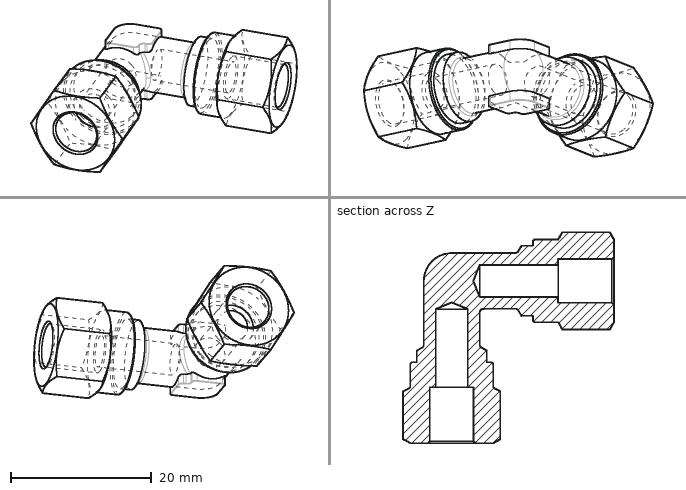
import cadquery as cq
import math

overall_size = 30.02
hex_flats = 12.0
hex_corner_radius = hex_flats / math.sqrt(3)
arm_reach = overall_size - hex_corner_radius

tube_radius = 4.0
crotch_fillet = 0.5
pad_half_width = 2.5
pad_reach = 4.02
pad_half_height = 4.53
pad_corner_radius = 0.6
pad_rim_fillet = 0.1

shoulder_radius = 5.0
shoulder_start = 9.9
shoulder_slope = 60.0
shoulder_rise = shoulder_radius - tube_radius
shoulder_root = shoulder_start - shoulder_rise / math.tan(math.radians(shoulder_slope))
shoulder_fillet = 0.5

collar_radius = 5.9
collar_start = 11.55
collar_chamfer = 0.2
hex_start = 15.13
hex_chamfer_angle = 30.0
hex_corner_chamfer = (hex_corner_radius - collar_radius) * math.tan(math.radians(hex_chamfer_angle))

socket_radius = 3.1
socket_mouth_radius = 3.4
socket_mouth_depth = 0.3
socket_floor = hex_start
bore_radius = 2.25
bore_end = tube_radius
drill_point_angle = 136.0
drill_point_depth = bore_radius / math.tan(math.radians(drill_point_angle / 2))


def revolve_about_x(points):
    """Turn a closed (axial, radial) outline about the X axis."""
    return cq.Workplane("XY").polyline(points).close().revolve(360, (0, 0, 0), (1, 0, 0))


def tube_and_shoulder():
    """Solid round arm along +X, with a filleted root under the conical shoulder."""
    blend_tangent = shoulder_fillet * math.tan(math.radians(shoulder_slope / 2))
    slope = math.radians(shoulder_slope)
    blend_angle = slope / 2
    blend_start = shoulder_root - blend_tangent
    blend_middle = (
        blend_start + shoulder_fillet * math.sin(blend_angle),
        tube_radius + shoulder_fillet * (1 - math.cos(blend_angle)),
    )
    blend_end = (
        shoulder_root + blend_tangent * math.cos(slope),
        tube_radius + blend_tangent * math.sin(slope),
    )
    outline = (
        cq.Workplane("XY")
        .lineTo(0, tube_radius)
        .lineTo(blend_start, tube_radius)
        .threePointArc(blend_middle, blend_end)
        .lineTo(shoulder_start, shoulder_radius)
        .lineTo(hex_start, shoulder_radius)
        .lineTo(hex_start, 0)
        .close()
    )
    return outline.revolve(360, (0, 0, 0), (1, 0, 0))


def nut():
    """Collar and hexagon along +X; the hexagon corners are turned down at both ends."""
    collar = revolve_about_x([
        (collar_start, 0),
        (collar_start, collar_radius - collar_chamfer),
        (collar_start + collar_chamfer, collar_radius),
        (hex_start, collar_radius),
        (hex_start, 0),
    ])
    hexagon = (
        cq.Workplane("YZ", origin=(hex_start, 0, 0))
        .polygon(6, 2 * hex_corner_radius)
        .extrude(arm_reach - hex_start)
    )
    corner_turning = revolve_about_x([
        (hex_start, 0),
        (hex_start, collar_radius),
        (hex_start + hex_corner_chamfer, hex_corner_radius),
        (arm_reach - hex_corner_chamfer, hex_corner_radius),
        (arm_reach, collar_radius),
        (arm_reach, 0),
    ])
    return collar.union(hexagon.intersect(corner_turning))


def bore():
    """Cutter for the tube socket, the narrower bore and its conical end."""
    return revolve_about_x([
        (bore_end - drill_point_depth, 0),
        (bore_end, bore_radius),
        (socket_floor, bore_radius),
        (socket_floor, socket_radius),
        (arm_reach - socket_mouth_depth, socket_radius),
        (arm_reach, socket_mouth_radius),
        (arm_reach, 0),
    ])


def wrench_pads():
    """L-shaped block through the elbow that stands out as a flat pad above and below."""
    block = (
        cq.Workplane("XY", origin=(0, 0, -pad_half_height))
        .moveTo(-pad_half_width, 0)
        .radiusArc((0, pad_half_width), pad_half_width)
        .lineTo(pad_reach, pad_half_width)
        .lineTo(pad_reach, -pad_half_width)
        .lineTo(pad_half_width, -pad_half_width)
        .lineTo(pad_half_width, -pad_reach)
        .lineTo(-pad_half_width, -pad_reach)
        .close()
        .extrude(2 * pad_half_height)
    )
    notch_corner = cq.selectors.NearestToPointSelector((pad_half_width, -pad_half_width, 0))
    block = block.edges("|Z and (>X or <Y)").fillet(pad_corner_radius)
    block = block.edges(notch_corner).fillet(pad_corner_radius)
    return block.faces("<Z or >Z").edges().fillet(pad_rim_fillet)


def both_arms(arm):
    """Join a +X arm with a copy turned to point along -Y."""
    return arm.union(arm.rotate((0, 0, 0), (0, 0, 1), -90))


elbow = both_arms(tube_and_shoulder()).union(cq.Workplane("XY").sphere(tube_radius))
elbow = elbow.union(wrench_pads())

crotch = cq.selectors.BoxSelector(
    (pad_half_width, -tube_radius, -pad_half_width),
    (tube_radius, -pad_half_width, pad_half_width),
)
elbow = elbow.edges(crotch).edges("%ELLIPSE").fillet(crotch_fillet)

result = elbow.union(both_arms(nut())).cut(both_arms(bore()))